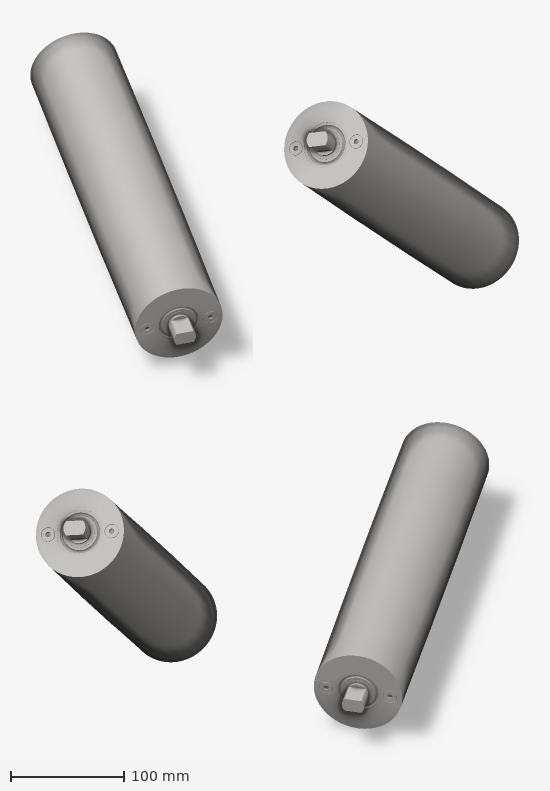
import cadquery as cq

axle_length = 391
axle_diameter = 20.0
flat_thickness = 13.0
axle_shoulder = 2.5

roller_length = 350.0
crown_diameter = 81.5
end_diameter = 80.0
middle_length = roller_length / 3
end_band = 2.7

seal_outer_diameter = 42.0
seal_inner_diameter = 26.2
seal_recess = 0.5
seal_groove_width = 2.7

screw_spacing = 58.0
screw_hole_diameter = 13.0
screw_head_diameter = 12.0
screw_gap_depth = 1.0
socket_diameter = 4.5
socket_depth = 2.5

half_roller = roller_length / 2


def make_roller():
    end_radius = end_diameter / 2
    crown_radius = crown_diameter / 2
    profile = (
        cq.Workplane("XY")
        .moveTo(-half_roller, 0)
        .lineTo(-half_roller, end_radius)
        .lineTo(-half_roller + end_band, end_radius)
        .lineTo(-middle_length / 2, crown_radius)
        .lineTo(middle_length / 2, crown_radius)
        .lineTo(half_roller - end_band, end_radius)
        .lineTo(half_roller, end_radius)
        .lineTo(half_roller, 0)
        .close()
    )
    return profile.revolve(360, (0, 0, 0), (1, 0, 0))


def make_axle():
    """Round bar with two parallel flats, facing +Z and -Z, on each protruding end."""
    axle = cq.Workplane("YZ").circle(axle_diameter / 2).extrude(axle_length / 2, both=True)
    round_length = roller_length + 2 * axle_shoulder
    flatted_envelope = cq.Workplane("XY").box(axle_length, axle_diameter, flat_thickness)
    round_envelope = cq.Workplane("XY").box(round_length, axle_diameter, axle_diameter)
    return axle.intersect(flatted_envelope.union(round_envelope))


def on_end_face():
    return cq.Workplane("YZ", origin=(half_roller, 0, 0))


def make_seal_cut():
    """Recess of the +X seal together with its half-round groove."""
    recess = (
        on_end_face()
        .circle(seal_outer_diameter / 2)
        .circle(seal_inner_diameter / 2)
        .extrude(-seal_recess)
    )
    groove_radius = (seal_outer_diameter + seal_inner_diameter) / 4
    groove = (
        cq.Workplane("XY")
        .center(half_roller - seal_recess, groove_radius)
        .circle(seal_groove_width / 2)
        .revolve(360, (0, -groove_radius, 0), (1, -groove_radius, 0))
    )
    return recess.union(groove)


def make_screw_cuts():
    """Gap around each +X screw head and the socket in its centre."""
    centres = [(-screw_spacing / 2, 0), (screw_spacing / 2, 0)]
    holes = on_end_face().pushPoints(centres).circle(screw_hole_diameter / 2).extrude(-screw_gap_depth)
    heads = on_end_face().pushPoints(centres).circle(screw_head_diameter / 2).extrude(-screw_gap_depth)
    sockets = on_end_face().pushPoints(centres).circle(socket_diameter / 2).extrude(-socket_depth)
    return holes.cut(heads).union(sockets)


end_cuts = make_seal_cut().union(make_screw_cuts())
roller = make_roller().cut(end_cuts).cut(end_cuts.mirror("YZ"))
result = roller.union(make_axle())